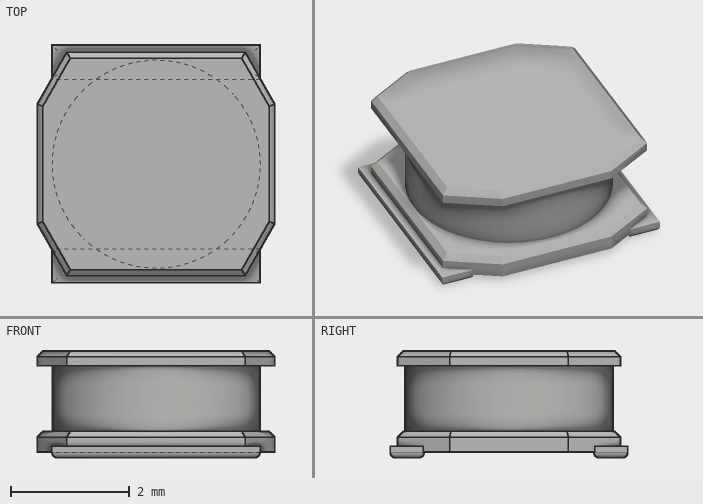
import cadquery as cq

length = 4.0
height = 1.8

plate_width = 3.75
long_flat = 3.0
short_flat = 2.0
plate_chamfer = 0.1
top_plate_thickness = 0.25
base_plate_bottom = 0.1
base_plate_top = 0.45

winding_diameter = 3.5

terminal_length = 3.5
terminal_width = 0.575
terminal_height = 0.2
terminal_fillet = 0.1


def end_plate(bottom, thickness):
    """Octagonal plate with its upper rim chamfered."""
    half_x = length / 2
    half_y = plate_width / 2
    flat_x = long_flat / 2
    flat_y = short_flat / 2
    outline = [
        (half_x, -flat_y),
        (half_x, flat_y),
        (flat_x, half_y),
        (-flat_x, half_y),
        (-half_x, flat_y),
        (-half_x, -flat_y),
        (-flat_x, -half_y),
        (flat_x, -half_y),
    ]
    plate = cq.Workplane("XY").workplane(offset=bottom).polyline(outline).close().extrude(thickness)
    return plate.faces(">Z").chamfer(plate_chamfer)


def terminal(side):
    """Bar along one Y side with rounded lower edges."""
    center_y = side * (length - terminal_width) / 2
    bar = cq.Workplane("XY").center(0, center_y).rect(terminal_length, terminal_width).extrude(terminal_height)
    return bar.faces("<Z").edges().fillet(terminal_fillet)


top_plate_bottom = height - top_plate_thickness
base_plate = end_plate(base_plate_bottom, base_plate_top - base_plate_bottom)
top_plate = end_plate(top_plate_bottom, top_plate_thickness)
winding = (
    cq.Workplane("XY")
    .workplane(offset=base_plate_top)
    .circle(winding_diameter / 2)
    .extrude(top_plate_bottom - base_plate_top)
)

result = base_plate.union(winding).union(top_plate)
for side in (-1, 1):
    result = result.union(terminal(side))